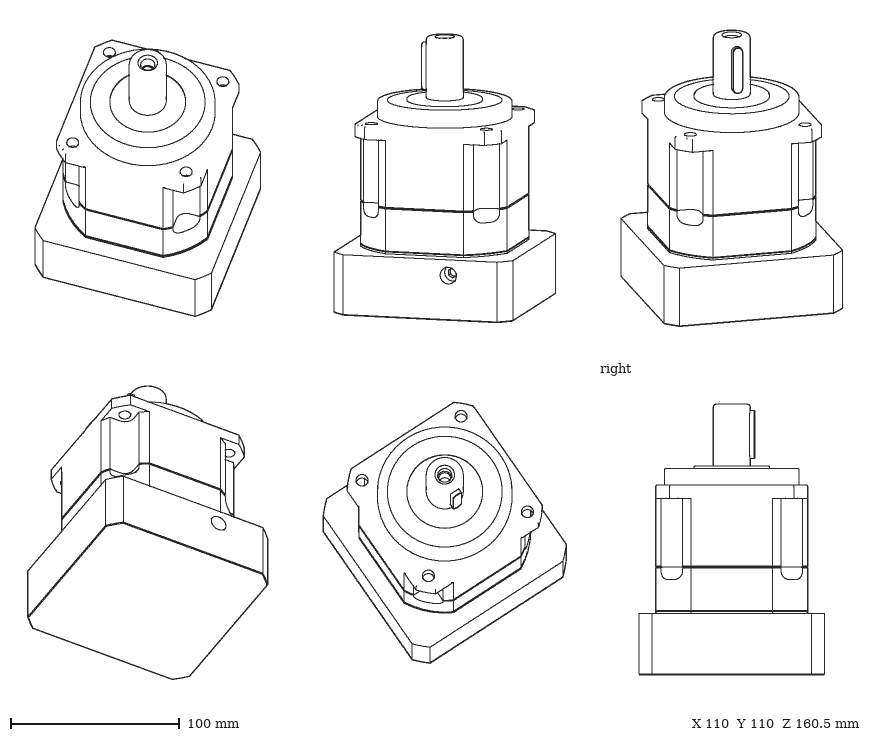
import cadquery as cq
import math

BASE_TOP = 36.5
PAD_TOP = 37.5
JOINT_HEIGHT = 63.9
FLANGE_BOTTOM = 104.5
FLANGE_TOP = 112.5
BOSS_TOP = 122.3
SHOULDER_TOP = 123.7
SHAFT_TOP = 160.5

BASE_SIDE = 110.0
BASE_CORNER_RADIUS = 72.5
BASE_CHAMFER = 0.5
HOUSING_SIDE = 90.0
HOUSING_CORNER_RADIUS = 51.0
FLANGE_CORNER_RADIUS = 58.1
FLANGE_FILLET = 1.0
JOINT_CHAMFER = 0.5

BOLT_OFFSET = 35.3
BOLT_HOLE_RADIUS = 3.5
SLOT_RADIUS = 6.1
SLOT_FLOOR = 56.5
SLOT_FLOOR_FILLET = 5.0

BOSS_RADIUS = 40.0
BOSS_FILLET = 1.0
SEAL_RADIUS = 34.0
SEAL_DEPTH = 9.6
SEAL_BOTTOM = BOSS_TOP - SEAL_DEPTH
SHOULDER_RADIUS = 22.5
SHOULDER_FILLET = 1.0
SHAFT_RADIUS = 22.0 / 2
SHAFT_FILLET = 2.0

COUNTERSINK_RADIUS = 5.8
CENTRE_BORE_RADIUS = 4.2
CENTRE_BORE_DEPTH = 8.0
THREAD_BORE_RADIUS = 3.4
THREAD_BORE_DEPTH = 19.3
DRILL_TIP_HALF_ANGLE = 59

KEY_WIDTH = 6.1
KEY_BOTTOM = 128.0
KEY_TOP = 156.6
KEY_INNER_Y = 7.7
KEY_OUTER_Y = 13.6
KEY_CHAMFER = 0.3

SCREW_Y = -17.3
SCREW_Z = 27.0
SCREW_RADIUS = 5.0
SCREW_LENGTH = 9.6
SCREW_RECESS = 9.6
SCREW_EDGE_FILLET = 0.5
SOCKET_ACROSS_FLATS = 5.1
SOCKET_DEPTH = 4.0
SOCKET_CONE_DEPTH = 1.5


def turned_square(side, corner_radius, bottom, top):
    """Square prism whose corners are cut by a cylinder about the Z axis."""
    height = top - bottom
    square = cq.Workplane("XY").workplane(offset=bottom).rect(side, side).extrude(height)
    cylinder = cq.Workplane("XY").workplane(offset=bottom).circle(corner_radius).extrude(height)
    return square.intersect(cylinder)


def disc(radius, bottom, top):
    return cq.Workplane("XY").workplane(offset=bottom).circle(radius).extrude(top - bottom)


def slot_pocket(bottom, top):
    """Pocket that opens the +X +Y corner of a housing, with a rounded inner corner."""
    pocket_size = HOUSING_SIDE / 2
    inner_wall = BOLT_OFFSET - SLOT_RADIUS
    pocket_centre = inner_wall + pocket_size / 2
    pocket = (
        cq.Workplane("XY").workplane(offset=bottom)
        .center(pocket_centre, pocket_centre)
        .rect(pocket_size, pocket_size)
        .extrude(top - bottom)
        .edges("|Z and <X and <Y").fillet(SLOT_RADIUS)
    )
    return pocket


def cut_slots(body, pocket):
    """Cut the pocket at all four corners."""
    for quarter in range(4):
        body = body.cut(pocket.rotate((0, 0, 0), (0, 0, 1), 90 * quarter))
    return body


def screw_cylinder(length, depth):
    """Cylinder on the screw axis that starts at a depth below the -X side of the base."""
    return (
        cq.Workplane("YZ", origin=(depth - BASE_SIDE / 2, SCREW_Y, SCREW_Z))
        .circle(SCREW_RADIUS)
        .extrude(length)
    )


def make_base():
    """Base block with a low raised pad for the lower housing and a blind screw hole."""
    base = turned_square(BASE_SIDE, BASE_CORNER_RADIUS, 0, BASE_TOP)
    base = base.faces("<Z").chamfer(BASE_CHAMFER)
    pad = turned_square(HOUSING_SIDE, HOUSING_CORNER_RADIUS, BASE_TOP, PAD_TOP)
    hole = screw_cylinder(SCREW_RECESS + SCREW_LENGTH, 0)
    return base.union(pad).cut(hole)


def make_screw():
    """Screw with a hexagon socket that ends in a shallow cone."""
    screw = screw_cylinder(SCREW_LENGTH, SCREW_RECESS).faces("<X").edges().fillet(SCREW_EDGE_FILLET)
    head_x = SCREW_RECESS - BASE_SIDE / 2
    socket = (
        cq.Workplane("YZ", origin=(head_x, SCREW_Y, SCREW_Z))
        .transformed(rotate=(0, 0, 90))
        .polygon(6, SOCKET_ACROSS_FLATS / math.cos(math.pi / 6))
        .extrude(SOCKET_DEPTH)
    )
    cone = cq.Workplane(obj=cq.Solid.makeCone(
        SOCKET_ACROSS_FLATS / 2, 0, SOCKET_CONE_DEPTH,
        pnt=cq.Vector(head_x + SOCKET_DEPTH, SCREW_Y, SCREW_Z), dir=cq.Vector(1, 0, 0),
    ))
    return screw.cut(socket).cut(cone)


def make_lower_housing():
    housing = turned_square(HOUSING_SIDE, HOUSING_CORNER_RADIUS, PAD_TOP, JOINT_HEIGHT)
    housing = housing.faces("<Z or >Z").chamfer(JOINT_CHAMFER)
    pocket = slot_pocket(SLOT_FLOOR, JOINT_HEIGHT)
    inner_floor_edges = pocket.faces("<Z").edges("not(>X or >Y)")
    return cut_slots(housing, inner_floor_edges.fillet(SLOT_FLOOR_FILLET))


def make_upper_housing():
    body = turned_square(HOUSING_SIDE, HOUSING_CORNER_RADIUS, JOINT_HEIGHT, FLANGE_BOTTOM)
    body = body.faces("<Z").chamfer(JOINT_CHAMFER)
    body = cut_slots(body, slot_pocket(JOINT_HEIGHT, FLANGE_BOTTOM))
    flange = turned_square(HOUSING_SIDE, FLANGE_CORNER_RADIUS, FLANGE_BOTTOM, FLANGE_TOP)
    flange = flange.faces(">Z").edges().fillet(FLANGE_FILLET)
    bolt_holes = (
        cq.Workplane("XY").workplane(offset=FLANGE_BOTTOM)
        .rect(2 * BOLT_OFFSET, 2 * BOLT_OFFSET, forConstruction=True)
        .vertices()
        .circle(BOLT_HOLE_RADIUS)
        .extrude(FLANGE_TOP - FLANGE_BOTTOM)
    )
    boss = disc(BOSS_RADIUS, FLANGE_TOP, BOSS_TOP).faces(">Z").edges().fillet(BOSS_FILLET)
    seal_seat = disc(SEAL_RADIUS, SEAL_BOTTOM, BOSS_TOP)
    return body.union(flange.cut(bolt_holes)).union(boss).cut(seal_seat)


def make_seal():
    """Ring that fills the gap between the shaft shoulder and the housing."""
    return disc(SEAL_RADIUS, SEAL_BOTTOM, BOSS_TOP).cut(disc(SHOULDER_RADIUS, SEAL_BOTTOM, BOSS_TOP))


def make_key():
    centre_z = (KEY_BOTTOM + KEY_TOP) / 2
    key = (
        cq.Workplane("XZ", origin=(0, KEY_INNER_Y, centre_z))
        .slot2D(KEY_TOP - KEY_BOTTOM, KEY_WIDTH, 90)
        .extrude(KEY_INNER_Y - KEY_OUTER_Y)
    )
    return key.faces(">Y").chamfer(KEY_CHAMFER)


def make_shaft(key):
    shoulder = disc(SHOULDER_RADIUS, SEAL_BOTTOM, SHOULDER_TOP)
    shoulder = shoulder.faces(">Z").edges().fillet(SHOULDER_FILLET)
    journal = disc(SHAFT_RADIUS, SHOULDER_TOP, SHAFT_TOP).faces(">Z").edges().fillet(SHAFT_FILLET)
    countersink_depth = COUNTERSINK_RADIUS - CENTRE_BORE_RADIUS
    cone_depth = THREAD_BORE_RADIUS / math.tan(math.radians(DRILL_TIP_HALF_ANGLE))
    centre_hole = (
        cq.Workplane("XZ", origin=(0, 0, SHAFT_TOP))
        .lineTo(COUNTERSINK_RADIUS, 0)
        .lineTo(CENTRE_BORE_RADIUS, -countersink_depth)
        .lineTo(CENTRE_BORE_RADIUS, -CENTRE_BORE_DEPTH)
        .lineTo(THREAD_BORE_RADIUS, -CENTRE_BORE_DEPTH)
        .lineTo(THREAD_BORE_RADIUS, -THREAD_BORE_DEPTH)
        .lineTo(0, -THREAD_BORE_DEPTH - cone_depth)
        .close()
        .revolve(360, (0, 0, 0), (0, 1, 0))
    )
    return shoulder.union(journal).cut(centre_hole).cut(key)


base = make_base()
screw = make_screw()
lower_housing = make_lower_housing()
upper_housing = make_upper_housing()
seal = make_seal()
key = make_key()
shaft = make_shaft(key)

result = cq.Compound.makeCompound([
    base.val(),
    screw.val(),
    lower_housing.val(),
    upper_housing.val(),
    seal.val(),
    shaft.val(),
    key.val(),
])